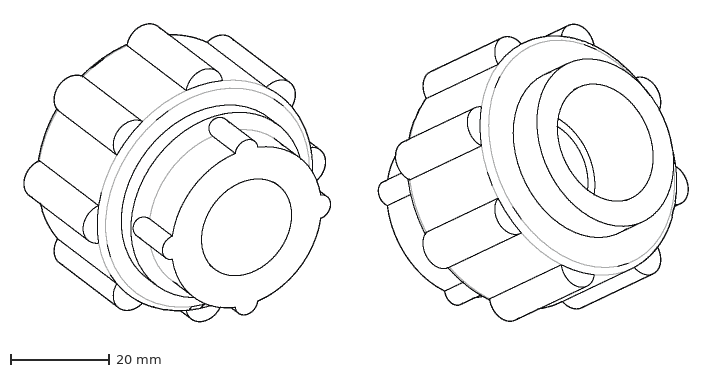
import cadquery as cq
import math


total_length = 49.0
nut_start = 7.7
nut_end = 33.6
collar_end = 37.4

spigot_diameter = 35.7
collar_diameter = 41.05
tail_diameter = spigot_diameter
tail_fillet = (collar_diameter - tail_diameter) / 2

nut_diameter = 51.0
nut_edge_radius = 1.25
grip_rib_count = 8
grip_rib_radius = 4.35
grip_rib_span = 57.67
grip_rib_start = nut_start + nut_edge_radius
grip_rib_end = nut_end - nut_edge_radius

tail_rib_count = 4
tail_rib_radius = 2.7
tail_rib_span = 40.0

socket_diameter = 25.0
socket_depth = 19.0
bore_diameter = 21.43

def cylinder(diameter, start, end):
    """Cylinder on the X axis between two stations."""
    return cq.Workplane("YZ", origin=(start, 0, 0)).circle(diameter / 2).extrude(end - start)

def ribs(count, radius, span, start, end):
    """Round ribs parallel to X whose crests touch a circle of diameter span."""
    return (
        cq.Workplane("YZ", origin=(start, 0, 0))
        .polarArray(span / 2 - radius, 0, 360, count)
        .circle(radius)
        .extrude(end - start)
    )

def nut():
    """Nut body with rounded rims and grip ribs between them."""
    body = cylinder(nut_diameter, nut_start, nut_end).edges().fillet(nut_edge_radius)
    return body.union(ribs(grip_rib_count, grip_rib_radius, grip_rib_span, grip_rib_start, grip_rib_end))

def collar_and_tail():
    """Collar that sweeps through a concave fillet into the ribbed tail."""
    collar_radius = collar_diameter / 2
    tail_radius = tail_diameter / 2
    fillet_end = collar_end + tail_fillet
    arc_offset = tail_fillet * (1 - math.sqrt(0.5))
    arc_middle = (collar_end + arc_offset, tail_radius + arc_offset)
    body = (
        cq.Workplane("XY")
        .moveTo(nut_end, 0)
        .lineTo(nut_end, collar_radius)
        .lineTo(collar_end, collar_radius)
        .threePointArc(arc_middle, (fillet_end, tail_radius))
        .lineTo(total_length, tail_radius)
        .lineTo(total_length, 0)
        .close()
        .revolve(360, (0, 0, 0), (1, 0, 0))
    )
    return body.union(ribs(tail_rib_count, tail_rib_radius, tail_rib_span, collar_end, total_length))

spigot = cylinder(spigot_diameter, 0, nut_start)
bore = cylinder(bore_diameter, 0, total_length)
socket = cylinder(socket_diameter, 0, socket_depth)

result = spigot.union(nut()).union(collar_and_tail()).cut(bore).cut(socket)